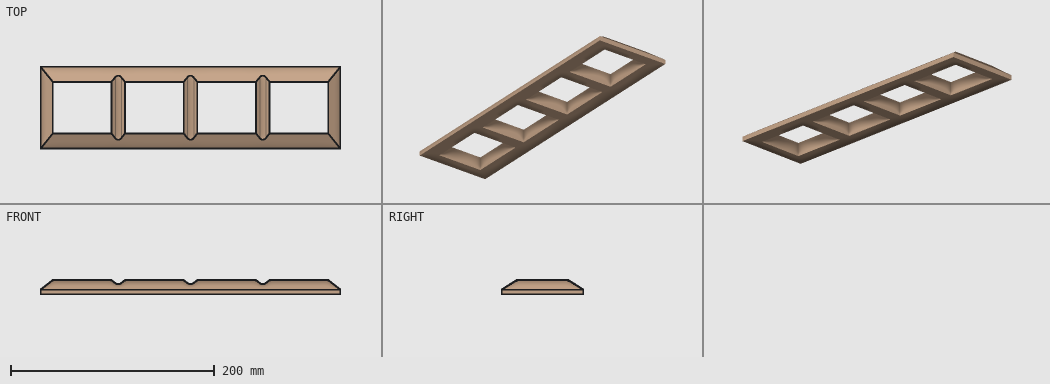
import cadquery as cq
import math

length = 294.5
width = 80.5
height = 14.0
rim_height = 4.7
window_count = 4
window_length = 57.5
bar_width = 13.5
side_border = 15.0
groove_radius = 5.0

pitch = window_length + bar_width
end_border = (length - window_count * window_length - (window_count - 1) * bar_width) / 2
window_width = width - 2 * side_border
bevel_height = height - rim_height
groove_angle = math.atan2(bevel_height, end_border)


def centred_positions(count):
    """X positions of count features spaced by the pitch about the centre."""
    return [(i - (count - 1) / 2) * pitch for i in range(count)]


def bevelled_blank():
    """Rectangular plate whose four borders slope up to the window outline."""
    rim = cq.Workplane("XY").box(length, width, rim_height, centered=(True, True, False))
    slopes = (
        cq.Workplane("XY")
        .workplane(offset=rim_height)
        .rect(length, width)
        .workplane(offset=bevel_height)
        .rect(length - 2 * end_border, window_width)
        .loft(ruled=True, combine=True)
    )
    return rim.union(slopes)


def window(x):
    """Rectangular opening through the full height."""
    return (
        cq.Workplane("XY")
        .box(window_length, window_width, height, centered=(True, True, False))
        .translate((x, 0, 0))
    )


def groove(x):
    """V-groove with a rounded bottom, running across the plate along Y."""
    half_width = bar_width / 2
    tangent_x = groove_radius * math.sin(groove_angle)
    tangent_z = height - (half_width - tangent_x) * math.tan(groove_angle)
    bottom_z = tangent_z - groove_radius * (1 - math.cos(groove_angle))
    return (
        cq.Workplane("XZ")
        .moveTo(x - half_width, height)
        .lineTo(x - tangent_x, tangent_z)
        .threePointArc((x, bottom_z), (x + tangent_x, tangent_z))
        .lineTo(x + half_width, height)
        .close()
        .extrude(width / 2, both=True)
    )


result = bevelled_blank()
for window_x in centred_positions(window_count):
    result = result.cut(window(window_x))
for bar_x in centred_positions(window_count - 1):
    result = result.cut(groove(bar_x))